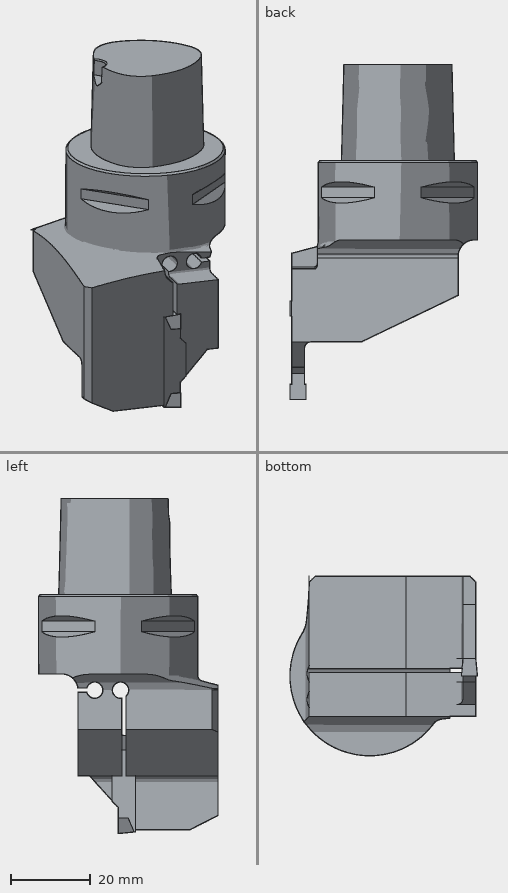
import cadquery as cq
import math


REACH = 100.8

TAPER_LENGTH = 24.0
LOBE_OFFSET = 5.9
LOBE_RADIUS = 9.1
TAPER_ANGLE = math.degrees(math.atan(1 / 40))

KEY_RADIUS = 3.2
KEY_Y = -13.95
KEY_DEPTH = 4.2
KEY_POINT_HEIGHT = 2.6
KEY_CHAMFER = 0.3

FLANGE_RADIUS = 20.0
FLANGE_CHAMFER = 0.5
FLANGE_UNDERSIDE = -20.0
CONE_Z = -21.4
CONE_ANGLE = 15.0
NECK_FILLET = 1.3

GROOVE_Z = -8.1
GROOVE_FLOOR = 17.6
GROOVE_FLOOR_WIDTH = 2.6
GROOVE_WALL_ANGLE = 30.0

HEAD_LEFT = -15.1
HEAD_RIGHT = 26.6
HEAD_FRONT = -25.0
HEAD_BACK = 10.1
HEAD_BOTTOM = -45.5
UNDERCUT_RADIUS = 4.0
SLOPE_TOP_Z = -33.85
SLOPE_END_X = 9.15
CORNER_CHAMFER = 1.5

BLADE_LEFT = 23.35
BLADE_BOTTOM = -59.05
BLADE_ROOT_FILLET = 1.5
BLADE_NOSE_Y = -17.9
BLADE_NOSE_Z = -55.4
BLADE_BACK_Y = 7.1

RELIEF_RADIUS = 2.0
RELIEF_Z = -24.0
OUTER_RELIEF_Y = 5.9
INNER_RELIEF_Y = -0.6
SLIT_WIDTH = 1.0
CLAMP_SLIT_Y = -1.4

STEP_X = 20.2
STEP_Z = -27.3
STEP_Y = -4.2
STEP_BLEND = 4.4
STEP_WALL_FILLET = 1.0

INSERT_TIP_Z = -60.0
INSERT_LENGTH = 24.8
INSERT_MIDDLE_Z = INSERT_TIP_Z + INSERT_LENGTH / 2
INSERT_SEAT_Y = -4.4
INSERT_CREST_Y = 1.5
INSERT_CLEARANCE = 0.4
CREST_START_Z = -53.4
EDGE_LEFT = 23.0
EDGE_RIGHT = 27.05
EDGE_TOP_Z = -56.1
EDGE_TOP_Y = -2.5
EDGE_BOTTOM_Y = -4.0


def arc_point(center, radius, degrees):
    """Point on a circle, at an angle measured from the first axis."""
    angle = math.radians(degrees)
    return (center[0] + radius * math.cos(angle), center[1] + radius * math.sin(angle))


def extrude_yz(points, x_start, x_end):
    """Prism along X from a closed outline of (y, z) points."""
    outline = cq.Workplane("YZ").workplane(offset=x_start).polyline(points).close()
    return outline.extrude(x_end - x_start)


def taper_shank():
    """Rounded triangle of constant width: three lobe arcs and three side arcs."""
    side_radius = math.sqrt(3) * LOBE_OFFSET + LOBE_RADIUS
    outline = None
    for lobe_angle in (90, 210, 330):
        lobe = arc_point((0, 0), LOBE_OFFSET, lobe_angle)
        opposite_lobe = arc_point((0, 0), LOBE_OFFSET, lobe_angle + 240)
        if outline is None:
            outline = cq.Workplane("XY").moveTo(*arc_point(lobe, LOBE_RADIUS, lobe_angle - 30))
        outline = outline.threePointArc(
            arc_point(lobe, LOBE_RADIUS, lobe_angle),
            arc_point(lobe, LOBE_RADIUS, lobe_angle + 30),
        )
        outline = outline.threePointArc(
            arc_point(opposite_lobe, side_radius, lobe_angle + 60),
            arc_point(opposite_lobe, side_radius, lobe_angle + 90),
        )
    return outline.close().extrude(TAPER_LENGTH, taper=TAPER_ANGLE)


def keying_hole():
    """Pointed hole with a chamfered rim, cutting through the side of the taper end."""
    profile = [
        (0, TAPER_LENGTH),
        (KEY_RADIUS + KEY_CHAMFER, TAPER_LENGTH),
        (KEY_RADIUS, TAPER_LENGTH - KEY_CHAMFER),
        (KEY_RADIUS, TAPER_LENGTH - KEY_DEPTH),
        (0, TAPER_LENGTH - KEY_DEPTH - KEY_POINT_HEIGHT),
    ]
    hole = cq.Workplane("XZ").polyline(profile).close().revolve(360, (0, 0), (0, 1))
    return hole.translate((0, KEY_Y, 0))


def turned_envelope():
    """Flange cylinder that blends into the conical top of the head."""
    slope = math.radians(CONE_ANGLE)
    tangent = NECK_FILLET * math.tan((math.pi / 2 - slope) / 2)
    blend_center = (FLANGE_RADIUS + NECK_FILLET, CONE_Z + tangent)
    return (
        cq.Workplane("XZ")
        .moveTo(0, 0)
        .lineTo(FLANGE_RADIUS - FLANGE_CHAMFER, 0)
        .lineTo(FLANGE_RADIUS, -FLANGE_CHAMFER)
        .lineTo(FLANGE_RADIUS, CONE_Z + tangent)
        .threePointArc(
            arc_point(blend_center, NECK_FILLET, 180 + (90 - CONE_ANGLE) / 2),
            arc_point(blend_center, NECK_FILLET, 270 - CONE_ANGLE),
        )
        .lineTo(REACH, CONE_Z - (REACH - FLANGE_RADIUS) * math.tan(slope))
        .lineTo(REACH, -REACH)
        .lineTo(0, -REACH)
        .close()
        .revolve(360, (0, 0), (0, 1))
    )


def head_length_profile():
    """Head and blade outline in XZ, extruded along Y."""
    undercut_z = FLANGE_UNDERSIDE - UNDERCUT_RADIUS
    undercut_center = (HEAD_LEFT - UNDERCUT_RADIUS, undercut_z)
    root_center = (BLADE_LEFT - BLADE_ROOT_FILLET, HEAD_BOTTOM - BLADE_ROOT_FILLET)
    return (
        cq.Workplane("XZ")
        .moveTo(-REACH, 0)
        .lineTo(-REACH, FLANGE_UNDERSIDE)
        .lineTo(HEAD_LEFT - UNDERCUT_RADIUS, FLANGE_UNDERSIDE)
        .threePointArc(arc_point(undercut_center, UNDERCUT_RADIUS, 45), (HEAD_LEFT, undercut_z))
        .lineTo(HEAD_LEFT, SLOPE_TOP_Z)
        .lineTo(SLOPE_END_X, HEAD_BOTTOM)
        .lineTo(BLADE_LEFT - BLADE_ROOT_FILLET, HEAD_BOTTOM)
        .threePointArc(
            arc_point(root_center, BLADE_ROOT_FILLET, 45),
            (BLADE_LEFT, HEAD_BOTTOM - BLADE_ROOT_FILLET),
        )
        .lineTo(BLADE_LEFT, -REACH)
        .lineTo(HEAD_RIGHT, -REACH)
        .lineTo(HEAD_RIGHT, 0)
        .close()
        .extrude(REACH, both=True)
    )


def head_depth_profile():
    """Head and blade outline in YZ, extruded along X."""
    undercut_z = FLANGE_UNDERSIDE - UNDERCUT_RADIUS
    undercut_center = (HEAD_BACK + UNDERCUT_RADIUS, undercut_z)
    return (
        cq.Workplane("YZ")
        .moveTo(REACH, 0)
        .lineTo(REACH, FLANGE_UNDERSIDE)
        .lineTo(HEAD_BACK + UNDERCUT_RADIUS, FLANGE_UNDERSIDE)
        .threePointArc(arc_point(undercut_center, UNDERCUT_RADIUS, 135), (HEAD_BACK, undercut_z))
        .lineTo(HEAD_BACK, HEAD_BOTTOM)
        .lineTo(BLADE_BACK_Y, HEAD_BOTTOM)
        .lineTo(0, CREST_START_Z)
        .lineTo(0, BLADE_BOTTOM)
        .lineTo(BLADE_NOSE_Y, BLADE_BOTTOM)
        .lineTo(HEAD_FRONT, BLADE_NOSE_Z)
        .lineTo(HEAD_FRONT, 0)
        .close()
        .extrude(REACH, both=True)
    )


def corner_chamfer(x, inward):
    """Wedge that bevels one vertical front corner of the head."""
    return (
        cq.Workplane("XY")
        .moveTo(x, HEAD_FRONT)
        .lineTo(x + inward * CORNER_CHAMFER, HEAD_FRONT)
        .lineTo(x, HEAD_FRONT + CORNER_CHAMFER)
        .close()
        .extrude(-REACH)
    )


def gripper_groove(angle):
    """Straight groove with sloping walls, across the flange at the given angle."""
    overshoot = FLANGE_RADIUS + 0.8
    floor_half = GROOVE_FLOOR_WIDTH / 2
    rise = (overshoot - GROOVE_FLOOR) * math.tan(math.radians(GROOVE_WALL_ANGLE))
    profile = [
        (GROOVE_FLOOR, GROOVE_Z - floor_half),
        (overshoot, GROOVE_Z - floor_half - rise),
        (overshoot, GROOVE_Z + floor_half + rise),
        (GROOVE_FLOOR, GROOVE_Z + floor_half),
    ]
    groove = cq.Workplane("XZ").polyline(profile).close().extrude(FLANGE_RADIUS, both=True)
    return groove.rotate((0, 0, 0), (0, 0, 1), angle)


def clamp_relief():
    """Two holes along X with a slit each, which leave the clamp arm on a thin hinge."""
    holes = (
        cq.Workplane("YZ")
        .pushPoints([(OUTER_RELIEF_Y, RELIEF_Z), (INNER_RELIEF_Y, RELIEF_Z)])
        .circle(RELIEF_RADIUS)
        .extrude(REACH, both=True)
    )
    outer_slit = cq.Workplane("XY").box(2 * REACH, REACH, SLIT_WIDTH, centered=(True, False, True))
    outer_slit = outer_slit.translate((0, OUTER_RELIEF_Y, RELIEF_Z))
    clamp_slit = cq.Workplane("XY").box(2 * REACH, SLIT_WIDTH, REACH, centered=(True, True, False))
    clamp_slit = clamp_slit.translate((0, CLAMP_SLIT_Y, RELIEF_Z - REACH))
    return holes.union(outer_slit).union(clamp_slit)


def arm_step():
    """Recess that lowers the top of the clamp arm beside the flange."""
    blend_center = (STEP_Y + STEP_BLEND, STEP_Z + STEP_BLEND)
    step = (
        cq.Workplane("YZ")
        .workplane(offset=STEP_X)
        .moveTo(REACH, 0)
        .lineTo(REACH, STEP_Z)
        .lineTo(STEP_Y + STEP_BLEND, STEP_Z)
        .threePointArc(arc_point(blend_center, STEP_BLEND, 225), (STEP_Y, STEP_Z + STEP_BLEND))
        .lineTo(STEP_Y, 0)
        .close()
        .extrude(REACH)
    )
    floor_edges = cq.selectors.BoxSelector(
        (STEP_X - 0.8, STEP_Y - 0.8, STEP_Z - 0.8), (STEP_X + 0.8, REACH, STEP_Z + STEP_BLEND)
    )
    return step.edges(floor_edges).fillet(STEP_WALL_FILLET)


def seat_relief():
    """Clearance through the blade root fillet, as wide as the insert."""
    outline = [
        (INSERT_SEAT_Y, BLADE_BOTTOM),
        (INSERT_SEAT_Y, HEAD_BOTTOM),
        (INSERT_CREST_Y, HEAD_BOTTOM),
        (INSERT_CREST_Y, BLADE_BOTTOM),
    ]
    return extrude_yz(outline, HEAD_LEFT, BLADE_LEFT)


def side_relief():
    """Wedge that narrows from the cutting edge width to the blade width at the seat."""
    outline = [
        (EDGE_LEFT, 0),
        (EDGE_RIGHT, 0),
        (HEAD_RIGHT, INSERT_SEAT_Y),
        (BLADE_LEFT, INSERT_SEAT_Y),
    ]
    return cq.Workplane("XY").polyline(outline).close().extrude(-REACH)


def cutting_insert():
    """Insert with a raised middle and a wider cutting head at each end."""
    end_seat_z = INSERT_TIP_Z + INSERT_CLEARANCE
    crest_z = CREST_START_Z + INSERT_CREST_Y
    edge_drop = INSERT_CLEARANCE * EDGE_BOTTOM_Y / INSERT_SEAT_Y
    core_half = [
        (INSERT_SEAT_Y, INSERT_MIDDLE_Z),
        (INSERT_SEAT_Y, end_seat_z),
        (0, INSERT_TIP_Z),
        (0, CREST_START_Z),
        (INSERT_CREST_Y, crest_z),
        (INSERT_CREST_Y, INSERT_MIDDLE_Z),
    ]
    head_outline = [
        (0, INSERT_TIP_Z),
        (0, EDGE_TOP_Z),
        (EDGE_TOP_Y, EDGE_TOP_Z),
        (EDGE_BOTTOM_Y, INSERT_TIP_Z + edge_drop),
    ]
    core = extrude_yz(core_half, BLADE_LEFT, HEAD_RIGHT)
    head = extrude_yz(head_outline, EDGE_LEFT, EDGE_RIGHT).intersect(side_relief())
    lower_half = core.union(head)
    upper_half = lower_half.mirror("XY", (0, 0, INSERT_MIDDLE_Z))
    return lower_half.union(upper_half).clean()


def tool_holder(insert):
    """Taper, flange and head in one piece, with a pocket that matches the insert."""
    holder = turned_envelope().intersect(head_length_profile()).intersect(head_depth_profile())
    holder = holder.cut(corner_chamfer(HEAD_LEFT, 1)).cut(corner_chamfer(HEAD_RIGHT, -1))
    for angle in (45, 135, 225, 315):
        holder = holder.cut(gripper_groove(angle))
    holder = holder.union(taper_shank()).cut(keying_hole())
    return holder.cut(arm_step()).cut(clamp_relief()).cut(seat_relief()).cut(insert)


insert = cutting_insert()
holder = tool_holder(insert)

result = cq.Compound.makeCompound([holder.solids().val(), insert.solids().val()])